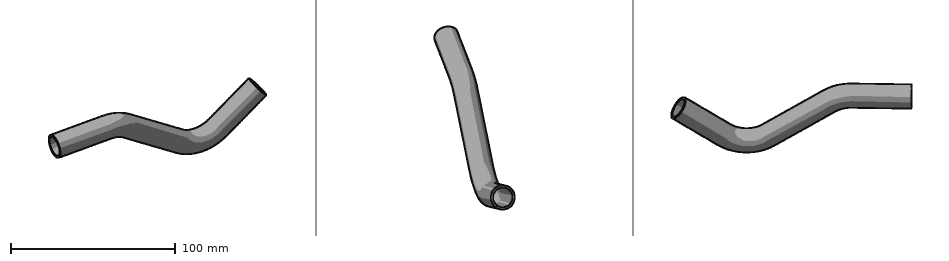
import cadquery as cq
import math

outer_diameter = 15.0
wall = 1.5
bore_diameter = outer_diameter - 2 * wall

overall_length = 146.5
overall_height = 52.0
bend_radius = 22.5
slope_angle = 37.0
rise_angle = 37.0
near_run = 36.6

outer_radius = outer_diameter / 2
slope = math.radians(slope_angle)
rise = math.radians(rise_angle)

centreline_drop = overall_height - outer_diameter
middle_run = (centreline_drop - 2 * bend_radius * (1 - math.cos(slope))) / math.sin(slope)

length_before_far_run = (
    near_run
    + bend_radius * math.sin(slope)
    + middle_run * math.cos(slope)
    + bend_radius * (math.sin(slope) + math.sin(rise))
)
end_corner_reach = outer_radius * math.sin(rise)
far_run = (overall_length - length_before_far_run - end_corner_reach) / math.cos(rise)


def arc_point(center, angle):
    """Point on a bend centreline; angle is measured from +Y towards +Z."""
    return (
        center[0] + bend_radius * math.cos(angle),
        center[1] + bend_radius * math.sin(angle),
    )


def moved(point, distance, angle):
    """Point reached by a straight run at the given angle from +Y."""
    return (
        point[0] + distance * math.cos(angle),
        point[1] + distance * math.sin(angle),
    )


start = (0.0, 0.0)
upper_start = moved(start, near_run, 0)
upper_center = (upper_start[0], upper_start[1] - bend_radius)
upper_middle = arc_point(upper_center, math.pi / 2 - slope / 2)
upper_end = arc_point(upper_center, math.pi / 2 - slope)

lower_start = moved(upper_end, middle_run, -slope)
lower_center = moved(lower_start, bend_radius, math.pi / 2 - slope)
lower_middle = arc_point(lower_center, -math.pi / 2 + (rise - slope) / 2)
lower_end = arc_point(lower_center, -math.pi / 2 + rise)
far_end = moved(lower_end, far_run, rise)

centreline = (
    cq.Workplane("YZ")
    .moveTo(*start)
    .lineTo(*upper_start)
    .threePointArc(upper_middle, upper_end)
    .lineTo(*lower_start)
    .threePointArc(lower_middle, lower_end)
    .lineTo(*far_end)
)

result = (
    cq.Workplane("XZ")
    .circle(outer_radius)
    .circle(bore_diameter / 2)
    .sweep(centreline)
)